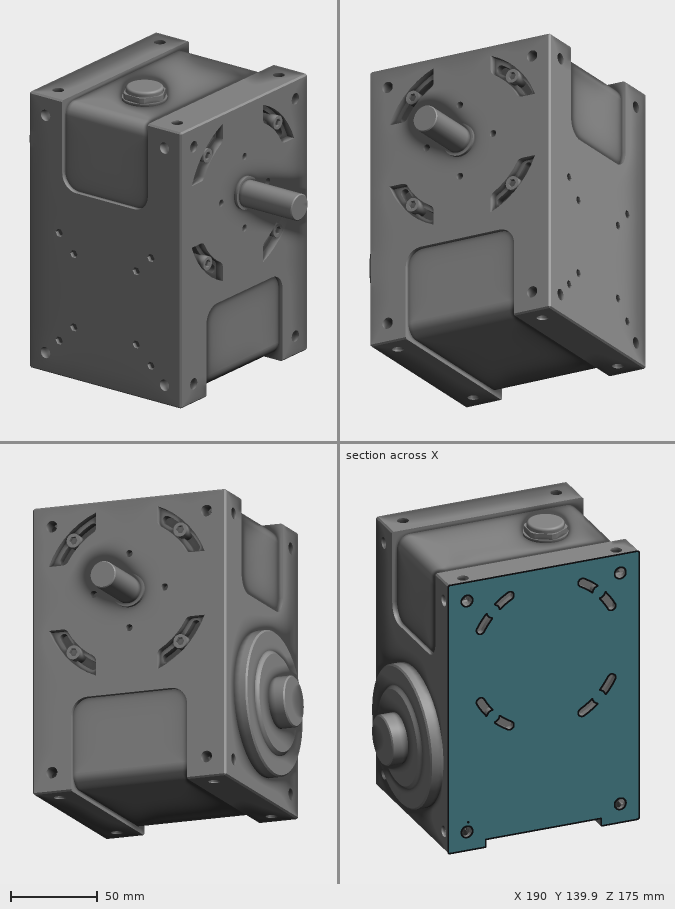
import cadquery as cq
import math

BODY_X = 110.0
BODY_Y = 120.0
BODY_Z = 170.0
BODY_CHAMFER = 1.0
SHAFT_Z = 115.3
OUTPUT_Z = 55.0

SADDLE_DEPTH = 3.0
SADDLE_CORNER = 10.0
SADDLE_EDGE = 8.0
TOP_SADDLE_WIDTH = 62.0
BOTTOM_SADDLE_WIDTH = 72.0

MOUNT_DIAMETER = 6.8
MOUNT_INSET = 12.0
MOUNT_DEPTH = 15.0

HEAD_RADIUS = 4.2
SOCKET_CORNERS = 5.1
SOCKET_DEPTH = 2.5

COVER_RADIUS = 52.0
COVER_THICKNESS = 9.9
COVER_BOLT_CIRCLE = 47.0
CAP_RADIUS = 37.0
CAP_BOLT_CIRCLE = 32.0

HOUSING_Y = -1.5
NOTCH_INNER_RADIUS = 42.0
NOTCH_SIDE = 19.0
NOTCH_CORNER = 4.0
NOTCH_DEPTH = 5.0
SLOT_WIDTH = 5.0
SLOT_HALF_ANGLE = 16
SLOT_DEPTH = 5.0
SEAL_RADII = (27.0, 17.5)
SEAL_HOLE_CIRCLE = 22.0
SEAL_HOLE_DIAMETER = 4.2
SEAL_HOLE_DEPTH = 5.0

SHAFT_LENGTH = 190.0
SHAFT_RADIUS = 8.0
SHAFT_CHAMFER = 0.5
COLLAR_RADIUS = 9.9
COLLAR_LENGTH = 2.0

FLANGE_RADIUS = 42.5
FLANGE_THICKNESS = 8.0
FLANGE_CHAMFER = 1.0
STEP_BASE_RADIUS = 30.5
STEP_TOP_RADIUS = 28.5
STEP_HEIGHT = 2.0
HUB_RADIUS = 15.0
HUB_LENGTH = 9.9
HUB_CHAMFER = 0.8

PLUG_Y = -22.6
PLUG_WASHER_RADIUS = 13.1
PLUG_WASHER_HEIGHT = 1.5
PLUG_HEX_RADIUS = 12.5
PLUG_HEX_FLATS = 23.0
PLUG_HEX_HEIGHT = 3.5
PLUG_CAP_RADIUS = 11.0
PLUG_CAP_HEIGHT = 3.0
PLUG_CAP_FILLET = 1.5

HALF_X = BODY_X / 2
HALF_Y = BODY_Y / 2

front_plane = cq.Plane((0, -HALF_Y, OUTPUT_Z), (1, 0, 0), (0, -1, 0))
back_plane = cq.Plane((0, HALF_Y, OUTPUT_Z), (-1, 0, 0), (0, 1, 0))
left_plane = cq.Plane((-HALF_X, 0, SHAFT_Z), (0, -1, 0), (-1, 0, 0))


def saddle_band(plane, width, inner_z, outer_z, length):
    """U-shaped band with rounded inner corners, running right through the housing."""
    band = cq.Workplane(plane).center(0, (inner_z + outer_z) / 2)
    band = band.rect(width, abs(outer_z - inner_z)).extrude(length / 2, both=True)
    inner_face = "<Z" if inner_z < outer_z else ">Z"
    run = "|Y" if plane == "XZ" else "|X"
    return band.faces(inner_face).edges(run).fillet(SADDLE_CORNER)


def disc(plane, radius, depth):
    """Disc that sinks into the housing from a working plane."""
    return cq.Workplane(plane).circle(radius).extrude(-depth)


def square_points(bolt_circle):
    """Four points at 45 degrees on a bolt circle of the given radius."""
    reach = bolt_circle * math.sqrt(0.5)
    return [(x, y) for x in (-reach, reach) for y in (-reach, reach)]


def inlay(part, insert):
    """Fit an insert flush into the part, keeping the joint line on the surface."""
    return part.cut(insert, clean=False).union(insert, clean=False)


def make_housing():
    housing = cq.Workplane().box(BODY_X, BODY_Y, BODY_Z, centered=(True, True, False))
    housing = housing.edges().chamfer(BODY_CHAMFER)

    top_band = saddle_band("XZ", TOP_SADDLE_WIDTH, SHAFT_Z, BODY_Z, BODY_Y)
    top_core = cq.Workplane().box(
        BODY_X, BODY_Y - 2 * SADDLE_DEPTH, BODY_Z - SADDLE_DEPTH, centered=(True, True, False)
    )
    top_core = top_core.faces(">Z").edges("|X").fillet(SADDLE_EDGE)

    bottom_band = saddle_band("YZ", BOTTOM_SADDLE_WIDTH, OUTPUT_Z, 0, BODY_X)
    bottom_core = cq.Workplane().box(
        BODY_X - 2 * SADDLE_DEPTH, BODY_Y, BODY_Z - SADDLE_DEPTH, centered=(True, True, False)
    )
    bottom_core = bottom_core.translate((0, 0, SADDLE_DEPTH))
    bottom_core = bottom_core.faces("<Z").edges("|Y").fillet(SADDLE_EDGE)

    return housing.cut(top_band.cut(top_core)).cut(bottom_band.cut(bottom_core))


def mount_holes():
    """Blind holes at the corners of all six faces; the three at each corner meet."""
    x = HALF_X - MOUNT_INSET
    y = HALF_Y - MOUNT_INSET
    z = BODY_Z / 2 - MOUNT_INSET
    holes = cq.Workplane()
    for axis, half, u, v in (("YZ", HALF_X, y, z), ("ZX", HALF_Y, z, x), ("XY", BODY_Z / 2, x, y)):
        corners = [(a, b) for a in (-u, u) for b in (-v, v)]
        for side in (-1, 1):
            plane = cq.Workplane(axis, origin=(0, 0, BODY_Z / 2)).workplane(offset=side * half)
            holes.add(plane.pushPoints(corners).circle(MOUNT_DIAMETER / 2).extrude(-side * MOUNT_DEPTH))
    return holes.combine()


def screw_sockets(plane, points):
    """Hexagon sockets sunk into the screw heads."""
    return cq.Workplane(plane).pushPoints(points).polygon(6, SOCKET_CORNERS).extrude(-SOCKET_DEPTH)


def arc_slot():
    """Curved slot with round ends, centred at 45 degrees on the bolt circle."""
    def polar(radius, degrees):
        angle = math.radians(degrees)
        return (radius * math.cos(angle), radius * math.sin(angle))

    start = 45 - SLOT_HALF_ANGLE
    end = 45 + SLOT_HALF_ANGLE
    inner = COVER_BOLT_CIRCLE - SLOT_WIDTH / 2
    outer = COVER_BOLT_CIRCLE + SLOT_WIDTH / 2
    ends = cq.Workplane(left_plane).pushPoints(
        [polar(COVER_BOLT_CIRCLE, start), polar(COVER_BOLT_CIRCLE, end)]
    )
    ends = ends.circle(SLOT_WIDTH / 2).extrude(-NOTCH_DEPTH - SLOT_DEPTH)
    bar = (
        cq.Workplane(left_plane)
        .moveTo(*polar(inner, start))
        .threePointArc(polar(inner, 45), polar(inner, end))
        .lineTo(*polar(outer, end))
        .threePointArc(polar(outer, 45), polar(outer, start))
        .close()
        .extrude(-NOTCH_DEPTH - SLOT_DEPTH)
    )
    return bar.union(ends)


def make_notch():
    """Corner notch of a bearing housing, with a curved slot in its floor."""
    quadrant = cq.Workplane(left_plane).center(NOTCH_SIDE, NOTCH_SIDE)
    quadrant = quadrant.rect(COVER_RADIUS, COVER_RADIUS, centered=False).extrude(-NOTCH_DEPTH)
    ring = disc(left_plane, COVER_RADIUS, NOTCH_DEPTH).cut(
        disc(left_plane, NOTCH_INNER_RADIUS, NOTCH_DEPTH)
    )
    notch = quadrant.intersect(ring)
    inner_reach = math.sqrt(NOTCH_INNER_RADIUS**2 - NOTCH_SIDE**2)
    for y, z in ((NOTCH_SIDE, inner_reach), (inner_reach, NOTCH_SIDE)):
        corner = left_plane.toWorldCoords((y, z, -NOTCH_DEPTH / 2))
        notch = notch.edges(cq.NearestToPointSelector(corner.toTuple())).fillet(NOTCH_CORNER)
    return notch.union(arc_slot())


def make_bearing_housing():
    """Eccentric bearing housing for the -X side, flush with the face."""
    screws = square_points(COVER_BOLT_CIRCLE)
    notch = make_notch()
    axis_start = left_plane.origin
    axis_end = axis_start + left_plane.zDir
    housing = disc(left_plane, COVER_RADIUS, NOTCH_DEPTH + 2 * SLOT_DEPTH)
    for quarter in range(4):
        housing = housing.cut(notch.rotate(axis_start.toTuple(), axis_end.toTuple(), 90 * quarter))
    heads = cq.Workplane(left_plane).pushPoints(screws).circle(HEAD_RADIUS)
    housing = housing.union(heads.extrude(-NOTCH_DEPTH - SLOT_DEPTH))
    return housing.cut(screw_sockets(left_plane, screws)).translate((0, HOUSING_Y, 0))


def make_shaft():
    shaft = cq.Workplane("YZ", origin=(0, 0, SHAFT_Z)).circle(SHAFT_RADIUS)
    shaft = shaft.extrude(SHAFT_LENGTH / 2, both=True)
    shaft = shaft.faces("<X or >X").chamfer(SHAFT_CHAMFER)
    collar = cq.Workplane("YZ", origin=(0, 0, SHAFT_Z)).circle(COLLAR_RADIUS)
    return shaft.union(collar.extrude(HALF_X + COLLAR_LENGTH, both=True))


def make_output():
    flange = cq.Workplane(back_plane).circle(FLANGE_RADIUS).extrude(FLANGE_THICKNESS)
    flange = flange.faces(">Y").chamfer(FLANGE_CHAMFER)
    step = cq.Workplane(back_plane).workplane(offset=FLANGE_THICKNESS).circle(STEP_BASE_RADIUS)
    step = step.workplane(offset=STEP_HEIGHT).circle(STEP_TOP_RADIUS).loft()
    hub = cq.Workplane(back_plane).circle(HUB_RADIUS)
    hub = hub.extrude(FLANGE_THICKNESS + STEP_HEIGHT + HUB_LENGTH)
    return flange.union(step).union(hub.faces(">Y").chamfer(HUB_CHAMFER))


def make_plug():
    base = cq.Workplane(origin=(0, PLUG_Y, BODY_Z - SADDLE_DEPTH))
    washer = base.circle(PLUG_WASHER_RADIUS).extrude(PLUG_WASHER_HEIGHT)
    nut_height = PLUG_WASHER_HEIGHT + PLUG_HEX_HEIGHT
    hexagon = cq.Sketch().regularPolygon(PLUG_HEX_FLATS / math.sqrt(3), 6, angle=30)
    nut = base.circle(PLUG_HEX_RADIUS).extrude(nut_height)
    nut = nut.intersect(base.placeSketch(hexagon).extrude(nut_height))
    cap = base.circle(PLUG_CAP_RADIUS).extrude(nut_height + PLUG_CAP_HEIGHT)
    return washer.union(nut).union(cap.faces(">Z").edges().fillet(PLUG_CAP_FILLET))


result = make_housing().cut(mount_holes()).union(make_output()).union(make_plug())

bearing = make_bearing_housing()
pocket = disc(left_plane, COVER_RADIUS, NOTCH_DEPTH + SLOT_DEPTH).translate((0, HOUSING_Y, 0))
seal_holes = cq.Workplane(left_plane).polarArray(SEAL_HOLE_CIRCLE, 0, 360, 4)
seal_holes = seal_holes.circle(SEAL_HOLE_DIAMETER / 2).extrude(-SEAL_HOLE_DEPTH)
seals = [disc(left_plane, radius, SEAL_HOLE_DEPTH) for radius in SEAL_RADII]


def on_side(shape, side):
    """Shape as built for the -X side, or mirrored to the +X side."""
    return shape if side < 0 else shape.mirror("YZ")


for side in (-1, 1):
    result = result.cut(on_side(pocket, side), clean=False)
    result = result.union(on_side(bearing, side), clean=False)
    for seal in seals:
        result = inlay(result, on_side(seal, side))
    result = result.cut(on_side(seal_holes, side), clean=False)
result = result.union(make_shaft(), clean=False)

for radius, bolt_circle in ((COVER_RADIUS, COVER_BOLT_CIRCLE), (CAP_RADIUS, CAP_BOLT_CIRCLE)):
    screws = square_points(bolt_circle)
    result = inlay(result, disc(front_plane, radius, COVER_THICKNESS))
    for x, y in screws:
        head = cq.Workplane(front_plane).center(x, y).circle(HEAD_RADIUS).extrude(-NOTCH_DEPTH)
        result = inlay(result, head)
    result = result.cut(screw_sockets(front_plane, screws), clean=False)